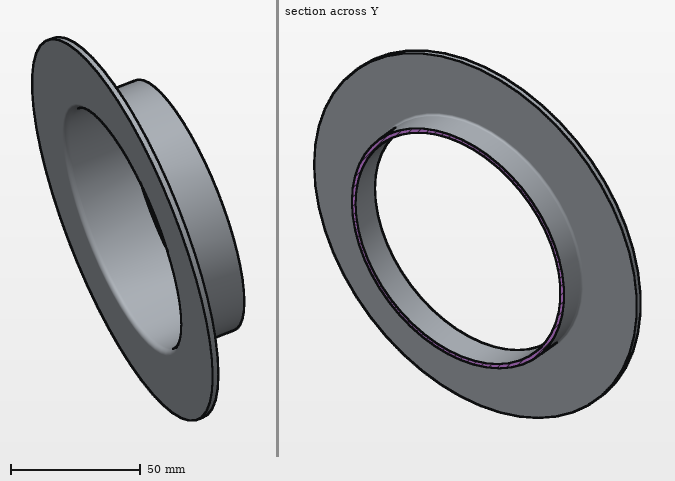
import cadquery as cq

flange_diameter = 158.0
flange_thickness = 2.5
overall_depth = 27.0
bore_diameter = 100.0
collar_wall = 2.0
mouth_radius = 2.0
root_radius = 1.0

bore_radius = bore_diameter / 2
collar_radius = bore_radius + collar_wall
flange_radius = flange_diameter / 2
front_y = -overall_depth / 2
back_y = overall_depth / 2
flange_back_y = front_y + flange_thickness


def ring_profile():
    """Half section of the flanged collar; local x is the radius, local y lies along Y."""
    return (
        cq.Workplane("XY")
        .moveTo(bore_radius + mouth_radius, front_y)
        .lineTo(flange_radius, front_y)
        .lineTo(flange_radius, flange_back_y)
        .lineTo(collar_radius + root_radius, flange_back_y)
        .radiusArc((collar_radius, flange_back_y + root_radius), root_radius)
        .lineTo(collar_radius, back_y)
        .lineTo(bore_radius, back_y)
        .lineTo(bore_radius, front_y + mouth_radius)
        .radiusArc((bore_radius + mouth_radius, front_y), -mouth_radius)
        .close()
    )


result = ring_profile().revolve(360, (0, 0, 0), (0, 1, 0))